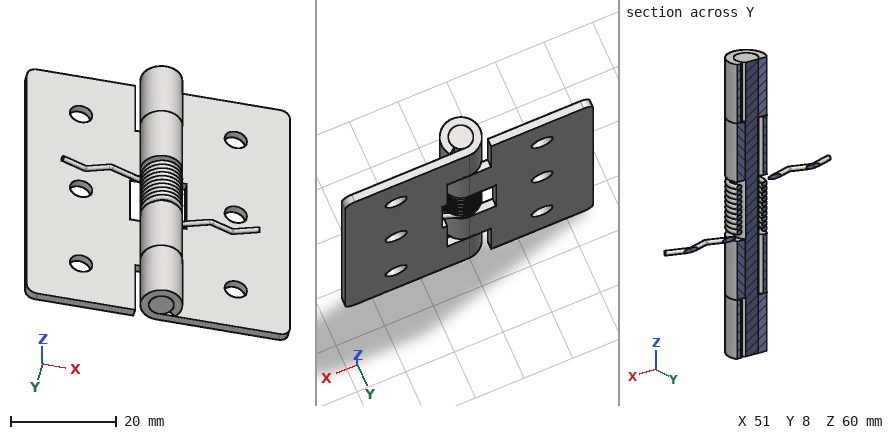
import cadquery as cq
import math


hinge_height = 60.0
hinge_width = 51.0
leaf_thickness = 1.6
corner_radius = 2.0
leaf_edge_x = 4.5
knuckle_height = hinge_height / 5
end_knuckle_z = 2 * knuckle_height
inner_knuckle_z = knuckle_height

barrel_radius = 8.0 / 2
pin_radius = barrel_radius - leaf_thickness
curl_end_angle = math.radians(36)

hole_diameter = 4.3
hole_x = 15.0
hole_pitch = hinge_height / 3

window_edge_x = 5.5
window_height = knuckle_height

wire_radius = 0.5
coil_radius = barrel_radius - wire_radius
coil_pitch = 1.0
spring_center_z = -0.05
full_turns = 10
leg_slope_degrees = 19.0
leg_slope = math.radians(leg_slope_degrees)
leg_bend_x = 9.7
leg_crest_x = 14.2
leg_tip_x = 19.1
bend_radius = 0.7
coil_turns = full_turns + 2 * leg_slope_degrees / 360
coil_height = coil_pitch * coil_turns


def polar(radius, angle):
    return (radius * math.cos(angle), radius * math.sin(angle))


def make_plate():
    """Flat plate of the +X leaf, with rounded outer corners, window and screw holes."""
    plate = (
        cq.Workplane("XY")
        .box(hinge_width / 2 - leaf_edge_x, leaf_thickness, hinge_height, centered=(False, False, True))
        .translate((leaf_edge_x, pin_radius, 0))
        .edges("|Y and >X")
        .fillet(corner_radius)
    )
    window = cq.Workplane("XY").box(2 * window_edge_x, 2 * barrel_radius, window_height)
    holes = (
        cq.Workplane("XZ")
        .pushPoints([(hole_x, row * hole_pitch) for row in (-1, 0, 1)])
        .circle(hole_diameter / 2)
        .extrude(-2 * barrel_radius)
    )
    return plate.cut(window).cut(holes)


def make_knuckle(center_z):
    """Curl that leaves the plate edge and wraps around the pin."""
    return (
        cq.Workplane("XY", origin=(0, 0, center_z - knuckle_height / 2))
        .moveTo(leaf_edge_x, barrel_radius)
        .lineTo(0, barrel_radius)
        .threePointArc((-barrel_radius, 0), polar(barrel_radius, curl_end_angle))
        .lineTo(*polar(pin_radius, curl_end_angle))
        .threePointArc((-pin_radius, 0), (0, pin_radius))
        .lineTo(leaf_edge_x, pin_radius)
        .close()
        .extrude(knuckle_height)
    )


def make_leaf(knuckle_z):
    """+X leaf with a pair of knuckles at plus and minus knuckle_z."""
    leaf = make_plate()
    for side in (-1, 1):
        leaf = leaf.union(make_knuckle(side * knuckle_z))
    return leaf


def make_pin():
    return cq.Workplane("XY").circle(pin_radius).extrude(hinge_height / 2, both=True)


def make_coil():
    """Right-handed coil, turned so that both ends are tangent to the sloping legs."""
    helix = cq.Wire.makeHelix(coil_pitch, coil_height, coil_radius)
    coil = (
        cq.Workplane("XZ")
        .center(coil_radius, 0)
        .circle(wire_radius)
        .sweep(cq.Workplane(obj=helix), isFrenet=True)
    )
    start_angle = 90 - leg_slope_degrees
    return coil.rotate((0, 0, 0), (0, 0, 1), start_angle).translate((0, 0, -coil_height / 2))


def make_leg(z):
    """Zigzag leg toward +X, starting at the coil's tangent point at height z."""
    drop = math.tan(leg_slope)
    start_x = coil_radius * math.sin(leg_slope)
    start_y = coil_radius * math.cos(leg_slope)
    bend_y = start_y - (leg_bend_x - start_x) * drop
    crest_y = bend_y + (leg_crest_x - leg_bend_x) * drop
    tip_y = crest_y - (leg_tip_x - leg_crest_x) * drop
    arc_half_x = bend_radius * math.sin(leg_slope)
    arc_half_y = arc_half_x * drop
    path = (
        cq.Workplane("XY", origin=(0, 0, z))
        .moveTo(start_x, start_y)
        .lineTo(leg_bend_x - arc_half_x, bend_y + arc_half_y)
        .tangentArcPoint((leg_bend_x + arc_half_x, bend_y + arc_half_y), relative=False)
        .lineTo(leg_crest_x - arc_half_x, crest_y - arc_half_y)
        .tangentArcPoint((leg_crest_x + arc_half_x, crest_y - arc_half_y), relative=False)
        .lineTo(leg_tip_x, tip_y)
    )
    start_plane = cq.Plane(
        origin=(start_x, start_y, z),
        xDir=(0, 0, 1),
        normal=(math.cos(leg_slope), -math.sin(leg_slope), 0),
    )
    return cq.Workplane(start_plane).circle(wire_radius).sweep(path)


def make_spring():
    lower_leg = make_leg(-coil_height / 2)
    upper_leg = make_leg(coil_height / 2).mirror("YZ")
    spring = make_coil().union(lower_leg).union(upper_leg)
    return spring.translate((0, 0, spring_center_z))


right_leaf = make_leaf(end_knuckle_z)
left_leaf = make_leaf(inner_knuckle_z).mirror("YZ")
pin = make_pin()
spring = make_spring()

result = cq.Compound.makeCompound([
    *right_leaf.solids().vals(),
    *left_leaf.solids().vals(),
    *pin.solids().vals(),
    *spring.solids().vals(),
])